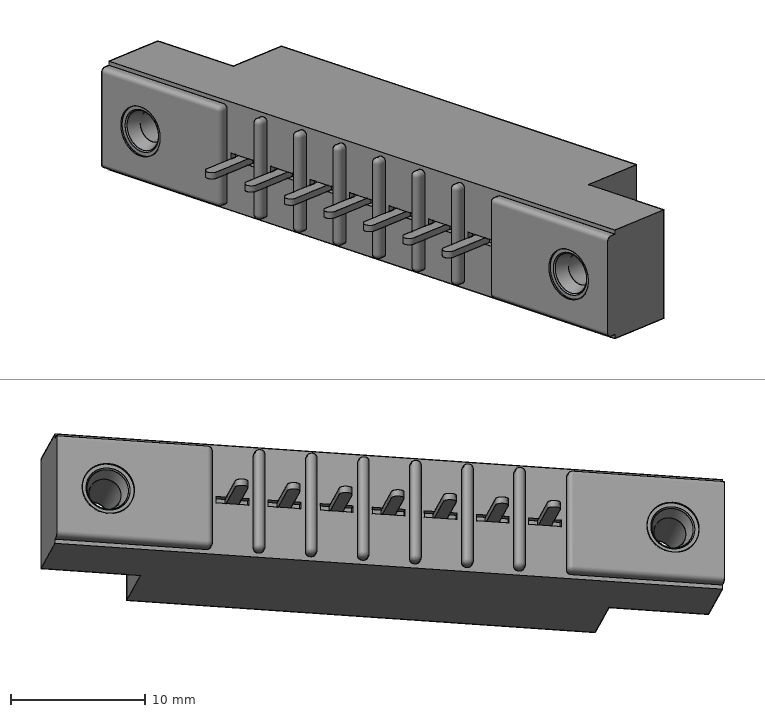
import cadquery as cq

HOUSING_LENGTH = 50.75
HOUSING_HEIGHT = 8.75
REAR_LENGTH = 35.65
REAR_DEPTH = 5.4
FLANGE_DEPTH = 5.5

PIN_COUNT = 7
PIN_PITCH = 3.95
PIN_WIDTH = 0.95
PIN_THICKNESS = 0.5
PIN_REACH = 4.0
POCKET_WIDTH = 2.5
POCKET_DEPTH = 0.5

RAISED_HEIGHT = 0.8
RAISED_MARGIN = 0.33
RIB_WIDTH = 0.8
PAD_LENGTH = 11.9
ROUND_RADIUS = 0.38
RAISED_SPAN = HOUSING_HEIGHT - 2 * RAISED_MARGIN

INSERT_OFFSET = 21.45
INSERT_RADIUS = 2.0
INSERT_BORE_RADIUS = 1.2
INSERT_MOUTH_RADIUS = 1.7
INSERT_LIP = 0.1
INSERT_TAPER_DEPTH = 1.05
INSERT_RECESS = 0.15

FLANGE_BACK = FLANGE_DEPTH
REAR_BACK = FLANGE_BACK + REAR_DEPTH
PAD_FACE = -RAISED_HEIGHT
INSERT_FACE = PAD_FACE + INSERT_RECESS

pin_positions = [(i - (PIN_COUNT - 1) / 2) * PIN_PITCH for i in range(PIN_COUNT)]
rib_positions = [x + PIN_PITCH / 2 for x in pin_positions[:-1]]
insert_positions = [-INSERT_OFFSET, INSERT_OFFSET]


def block(x_size, z_size, y_front, y_back, x_middle=0.0):
    """Box centred on Z = 0 that runs from y_front to y_back."""
    return (
        cq.Workplane("XY")
        .box(x_size, y_back - y_front, z_size)
        .translate((x_middle, (y_front + y_back) / 2, 0))
    )


def cylinder(radius, y_front, y_back, x_middle):
    """Cylinder along Y that runs from y_front to y_back."""
    return (
        cq.Workplane("XZ", origin=(x_middle, y_front, 0))
        .circle(radius)
        .extrude(y_front - y_back)
    )


def round_raised_edges(raised_block):
    """Round the corners and the front edges of a block that stands on the flange face."""
    return raised_block.edges("|Y").fillet(ROUND_RADIUS).faces("<Y").edges().fillet(ROUND_RADIUS)


def make_pad(side):
    """Standoff pad at one end; its sharp outer end is flush with the housing."""
    inner_end = side * (HOUSING_LENGTH / 2 - PAD_LENGTH)
    long_pad = block(2 * PAD_LENGTH, RAISED_SPAN, PAD_FACE, 0, inner_end + side * PAD_LENGTH)
    long_pad = round_raised_edges(long_pad)
    return long_pad.intersect(block(HOUSING_LENGTH, RAISED_SPAN, PAD_FACE, 0))


def make_rib(x_middle):
    """Vertical rib with a rounded crest and round ends."""
    return round_raised_edges(block(RIB_WIDTH, RAISED_SPAN, PAD_FACE, 0, x_middle))


def make_housing():
    housing = block(HOUSING_LENGTH, HOUSING_HEIGHT, 0, FLANGE_BACK)
    housing = housing.union(block(REAR_LENGTH, HOUSING_HEIGHT, FLANGE_BACK, REAR_BACK))
    for side in (-1, 1):
        housing = housing.union(make_pad(side))
    for x in rib_positions:
        housing = housing.union(make_rib(x))
    for x in pin_positions:
        housing = housing.cut(block(POCKET_WIDTH, PIN_THICKNESS, 0, POCKET_DEPTH, x))
    for x in insert_positions:
        housing = housing.cut(cylinder(INSERT_RADIUS, PAD_FACE, FLANGE_BACK, x))
    return housing


def make_pin(x_middle):
    """Flat pin with a full-round tip, standing on the floor of its pocket."""
    half_width = PIN_WIDTH / 2
    return (
        cq.Workplane("XY", origin=(x_middle, 0, -PIN_THICKNESS / 2))
        .moveTo(-half_width, POCKET_DEPTH)
        .lineTo(-half_width, half_width - PIN_REACH)
        .threePointArc((0, -PIN_REACH), (half_width, half_width - PIN_REACH))
        .lineTo(half_width, POCKET_DEPTH)
        .close()
        .extrude(PIN_THICKNESS)
    )


def make_insert(x_middle):
    """Tubular insert, set slightly below the pad face, with a bevelled and tapered mouth."""
    taper_start = INSERT_FACE + INSERT_LIP
    wall_profile = [
        (INSERT_RADIUS, INSERT_FACE),
        (INSERT_MOUTH_RADIUS, INSERT_FACE),
        (INSERT_MOUTH_RADIUS - INSERT_LIP, taper_start),
        (INSERT_BORE_RADIUS, taper_start + INSERT_TAPER_DEPTH),
        (INSERT_BORE_RADIUS, FLANGE_BACK),
        (INSERT_RADIUS, FLANGE_BACK),
    ]
    tube = cq.Workplane("XY").polyline(wall_profile).close().revolve(360, (0, 0), (0, 1))
    return tube.translate((x_middle, 0, 0))


housing = make_housing()
pins = [make_pin(x) for x in pin_positions]
inserts = [make_insert(x) for x in insert_positions]

result = cq.Compound.makeCompound(
    [housing.val(), *[pin.val() for pin in pins], *[insert.val() for insert in inserts]]
)